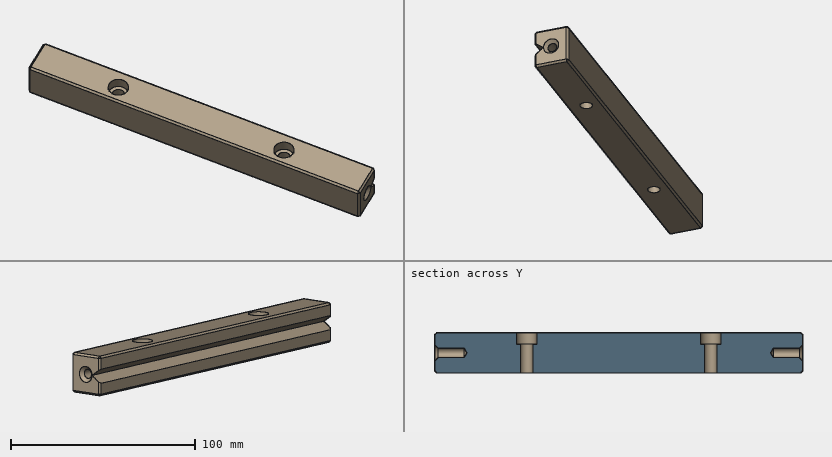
import cadquery as cq

length = 200.0
width = 19.8
height = 22.0
edge_chamfer = 1.1

groove_depth = 5.5
groove_mouth = 7.8

screw_spacing = length / 2
screw_y = -0.8
screw_diameter = 6.8
head_diameter = 11.0
head_depth = 6.2

end_hole_diameter = 5.0
end_hole_depth = 16.0
countersink_diameter = 8.8
countersink_depth = (countersink_diameter - end_hole_diameter) / 2
drill_tip_depth = 1.5


def chamfered_bar():
    return cq.Workplane("XY").box(length, width, height).edges().chamfer(edge_chamfer)


def v_groove():
    side = width / 2
    profile = [
        (side, groove_mouth / 2),
        (side - groove_depth, 0),
        (side, -groove_mouth / 2),
    ]
    return cq.Workplane("YZ").polyline(profile).close().extrude(length / 2, both=True)


def screw_hole(x):
    """Clearance hole with a screw head recess, as a solid to cut away."""
    top = cq.Workplane("XY", origin=(x, screw_y, height / 2))
    shank = top.circle(screw_diameter / 2).extrude(-height)
    head = top.circle(head_diameter / 2).extrude(-head_depth)
    return shank.union(head)


def end_hole():
    """Countersunk drilled hole entering the -X end, revolved about the X axis."""
    end = -length / 2
    drill_radius = end_hole_diameter / 2
    profile = [
        (end, 0),
        (end, countersink_diameter / 2),
        (end + countersink_depth, drill_radius),
        (end + end_hole_depth, drill_radius),
        (end + end_hole_depth + drill_tip_depth, 0),
    ]
    return cq.Workplane("XY").polyline(profile).close().revolve(360, (0, 0, 0), (1, 0, 0))


result = chamfered_bar().cut(v_groove())

for x in (-screw_spacing / 2, screw_spacing / 2):
    result = result.cut(screw_hole(x))

result = result.cut(end_hole()).cut(end_hole().mirror("YZ"))